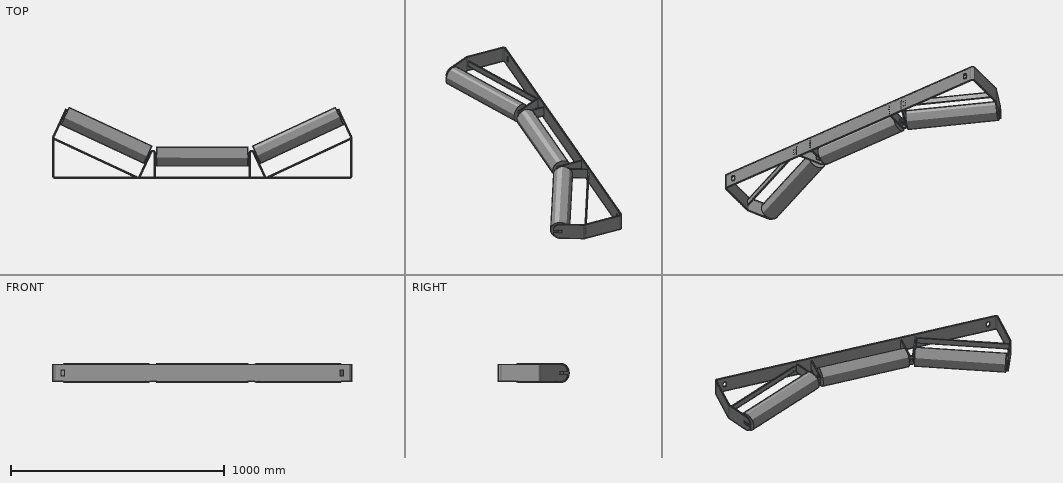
import cadquery as cq
import math

thickness = 6.0
inner_bend_radius = 6.0
outer_bend_radius = inner_bend_radius + thickness

roller_diameter = 90.0
roller_length = 427.0
end_gap = 5.0
shaft_diameter = 20.0
shaft_flats = 14.0
center_roller_y = 102.0
side_roller_x = 448.0
side_roller_y = 202.0
trough_angle = 25.0

frame_width = 80.0
frame_length = 1400.0
tip_reach = 31.0
tip_corner_radius = 31.0
mount_slot_x = 652.0
mount_slot_width = 17.0
mount_slot_length = 30.0

bracket_width = 50.0
bracket_slot_reach = 42.0

strut_width = 30.0
strut_foot_x = 308.0

shaft_radius = shaft_diameter / 2
face_distance = roller_length / 2 + end_gap
shaft_length = 2 * (face_distance + thickness)
half_frame = frame_length / 2
sine = math.sin(math.radians(trough_angle))
cosine = math.cos(math.radians(trough_angle))
tangent = sine / cosine


def tilted(along, across):
    """Point of the left side roller's plane: along its axis (down to the right) and across it (up)."""
    return (
        -side_roller_x + along * cosine + across * sine,
        side_roller_y - along * sine + across * cosine,
    )


def place_tilted(body):
    """Move a body built around the origin onto the left side roller."""
    return body.rotate((0, 0, 0), (0, 0, 1), -trough_angle).translate((-side_roller_x, side_roller_y, 0))


def mirrored(body):
    return body.mirror("YZ")


def corner_offset(before, corner, after, distance):
    """Mitred offset of a corner to the left of the path before-corner-after."""
    heading_in = math.atan2(corner[1] - before[1], corner[0] - before[0])
    heading_out = math.atan2(after[1] - corner[1], after[0] - corner[0])
    half_turn = math.remainder(heading_out - heading_in, 2 * math.pi) / 2
    normal = heading_in + half_turn + math.pi / 2
    reach = distance / math.cos(half_turn)
    return (corner[0] + reach * math.cos(normal), corner[1] + reach * math.sin(normal))


def end_offset(start, end, point, distance):
    """Offset of a path end, square to the left of the line start-end."""
    length = math.dist(start, end)
    return (
        point[0] - distance * (end[1] - start[1]) / length,
        point[1] + distance * (end[0] - start[0]) / length,
    )


def folded_strip(outer, width):
    """Strip bent along the outer-face points, with its thickness to their left and rounded bends."""
    bends = [corner_offset(*outer[i - 1:i + 2], thickness) for i in range(1, len(outer) - 1)]
    first = end_offset(outer[0], outer[1], outer[0], thickness)
    last = end_offset(outer[-2], outer[-1], outer[-1], thickness)
    outline = outer + [last] + bends[::-1] + [first]
    strip = cq.Workplane("XY").polyline(outline).close().extrude(width / 2, both=True)
    for points, radius in ((outer[1:-1], outer_bend_radius), (bends, inner_bend_radius)):
        for x, y in points:
            strip = strip.edges(cq.NearestToPointSelector((x, y, 0))).fillet(radius)
    return strip


def shaft_slot(reach, depth):
    """Cutter for a slot at the -X end of a roller, open toward +Y."""
    height = reach + shaft_radius
    return cq.Workplane("XY").box(depth, height, shaft_flats, centered=(False, False, True)).translate(
        (-face_distance - depth, -shaft_radius, 0)
    )


def make_frame():
    """Base with two end walls, whose tilted upper parts are the end plates."""
    bend_y = side_roller_y + ((face_distance + thickness) - (half_frame - side_roller_x) * cosine) / sine
    tip = tilted(-face_distance - thickness, tip_reach)
    left = [tip, (-half_frame, bend_y), (-half_frame, 0)]
    right = [(-x, y) for x, y in reversed(left)]
    frame = folded_strip(left + right, frame_width)

    for side in (-1, 1):
        for z in (-1, 1):
            corner = (side * -tip[0], tip[1], z * frame_width / 2)
            frame = frame.edges(cq.NearestToPointSelector(corner)).fillet(tip_corner_radius)

    slot = place_tilted(shaft_slot(tip_reach + thickness, thickness))
    frame = frame.cut(slot).cut(mirrored(slot))

    mount_slots = (
        cq.Workplane("XZ")
        .pushPoints([(-mount_slot_x, 0), (mount_slot_x, 0)])
        .slot2D(mount_slot_length, mount_slot_width, 90)
        .extrude(-thickness)
    )
    return frame.cut(mount_slots)


def make_bracket():
    """Left bracket: an upright leg and a slanted leg joined by a fold, both standing on the base."""
    foot = tilted(face_distance, (thickness - side_roller_y + face_distance * sine) / cosine)
    apex = (-face_distance, foot[1] + (-face_distance - foot[0]) / tangent)
    below_foot = (foot[0] - thickness * tangent, foot[1] - thickness)
    bracket = folded_strip([(-face_distance, thickness), apex, below_foot], bracket_width)

    below_base = cq.Workplane("XY").box(frame_length, frame_length, frame_length)
    bracket = bracket.cut(below_base.translate((0, thickness - half_frame, 0)))

    fold_slot = shaft_slot(bracket_slot_reach, 2 * outer_bend_radius)
    upright_slot = fold_slot.translate((0, center_roller_y, 0))
    slanted_slot = place_tilted(mirrored(fold_slot))
    return bracket.cut(upright_slot).cut(slanted_slot)


def make_strut():
    """Left strut: a flat bar parallel to the side roller, cut to fit the base and the end wall."""
    bar = cq.Workplane("XY").box(frame_length, thickness, strut_width)
    bar = bar.rotate((0, 0, 0), (0, 0, 1), -trough_angle).translate((-strut_foot_x, thickness, 0))
    run = half_frame - thickness
    room = cq.Workplane("XY").box(run, run, frame_width, centered=(False, False, True))
    return bar.intersect(room.translate((-run, thickness, 0)))


def make_roller():
    """Roller along X with a shaft stub at each end, flattened to sit in its slot."""
    shaft = cq.Workplane("YZ").circle(shaft_radius).extrude(shaft_length / 2, both=True)
    flats = cq.Workplane("XY").box(shaft_length, shaft_diameter, shaft_flats)
    shell = cq.Workplane("YZ").circle(roller_diameter / 2).extrude(roller_length / 2, both=True)
    return shaft.intersect(flats).union(shell)


frame = make_frame()
left_bracket = make_bracket()
left_strut = make_strut()
left_roller = place_tilted(make_roller())
center_roller = make_roller().translate((0, center_roller_y, 0))

bodies = [frame, center_roller]
for left_body in (left_bracket, left_strut, left_roller):
    bodies += [left_body, mirrored(left_body)]

result = cq.Compound.makeCompound([body.solids().val() for body in bodies])